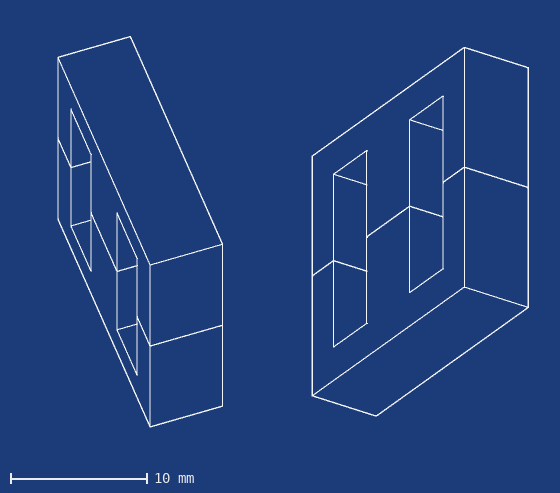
import cadquery as cq

core_width = 20.1
core_thickness = 5.65
pair_height = 20.0
air_gap = 0.02
center_leg_width = 5.67
window_outer_span = 14.43
window_height = 14.41

half_height = (pair_height - air_gap) / 2
half_center_z = (pair_height + air_gap) / 4
window_width = (window_outer_span - center_leg_width) / 2
window_center_x = (window_outer_span + center_leg_width) / 4


def winding_windows():
    """The two through openings between the legs, centred on the air gap."""
    return (
        cq.Workplane("XY")
        .pushPoints([(-window_center_x, 0), (window_center_x, 0)])
        .box(window_width, core_thickness, window_height)
    )


def core_half(side):
    """One E-shaped half; side is +1 for the upper half and -1 for the lower."""
    block = cq.Workplane("XY").box(core_width, core_thickness, half_height)
    return block.translate((0, 0, side * half_center_z)).cut(winding_windows())


core_halves = [core_half(side).val() for side in (1, -1)]

result = cq.Compound.makeCompound(core_halves)